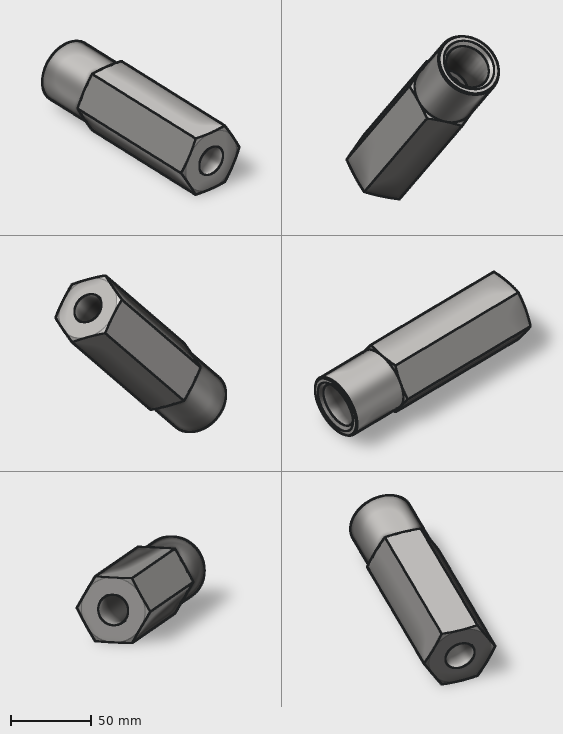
import cadquery as cq
import math

total_length = 139.7
neck_length = 38.0
neck_chamfer = 0.7
across_corners = 47.6
hex_chamfer_angle = 15.0

mouth_diameter = 34.1
mouth_depth = 2.4
socket_start_diameter = 28.9
socket_end_diameter = 27.8
socket_length = 30.7
through_diameter = 19.4

across_flats = across_corners * math.cos(math.radians(30))
neck_diameter = across_flats
socket_depth = mouth_depth + socket_length


def revolve_about_axis(points):
    """Revolve a closed (x, radius) outline about the X axis."""
    return cq.Workplane("XY").polyline(points).close().revolve(360, (0, 0, 0), (1, 0, 0))


def hex_body():
    """Hexagonal bar with flats facing +Z and -Z and its corners chamfered at both ends."""
    corner_radius = across_corners / 2
    flat_radius = across_flats / 2
    chamfer_length = (corner_radius - flat_radius) * math.tan(math.radians(hex_chamfer_angle))
    bar = (
        cq.Workplane("YZ")
        .workplane(offset=neck_length)
        .polygon(6, across_corners)
        .extrude(total_length - neck_length)
    )
    envelope = revolve_about_axis([
        (neck_length, 0),
        (neck_length, flat_radius),
        (neck_length + chamfer_length, corner_radius),
        (total_length - chamfer_length, corner_radius),
        (total_length, flat_radius),
        (total_length, 0),
    ])
    return bar.intersect(envelope)


def neck():
    """Round neck with a small chamfer on its free end."""
    return (
        cq.Workplane("YZ")
        .circle(neck_diameter / 2)
        .extrude(neck_length)
        .faces("<X")
        .chamfer(neck_chamfer)
    )


def bore():
    """Countersunk mouth, slightly tapered socket and through hole along the axis."""
    return revolve_about_axis([
        (0, 0),
        (0, mouth_diameter / 2),
        (mouth_depth, socket_start_diameter / 2),
        (socket_depth, socket_end_diameter / 2),
        (socket_depth, through_diameter / 2),
        (total_length, through_diameter / 2),
        (total_length, 0),
    ])


result = hex_body().union(neck()).cut(bore())